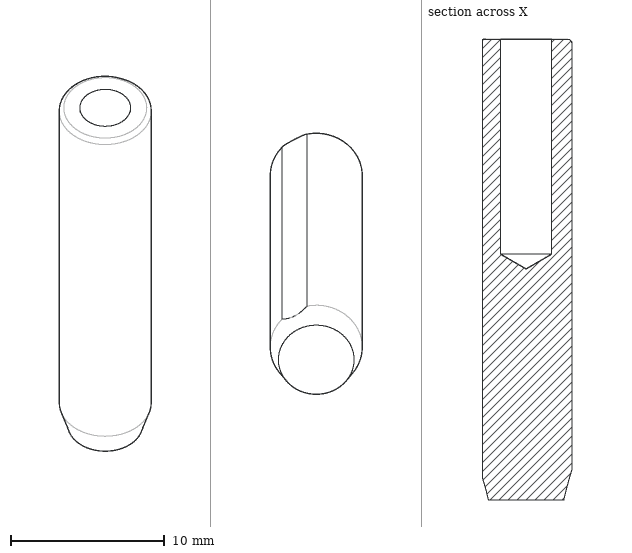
import cadquery as cq
import math

PIN_DIAMETER = 6.0
PIN_LENGTH = 30.0
TOP_ROUND_RADIUS = 0.3

TAPER_LENGTH = 2.0
TAPER_HALF_ANGLE = 15.0

FLAT_DEPTH = 0.15

HOLE_DIAMETER = 3.3
HOLE_DEPTH = 14.0
DRILL_POINT_ANGLE = 120.0

PIN_RADIUS = PIN_DIAMETER / 2
TIP_RADIUS = PIN_RADIUS - TAPER_LENGTH * math.tan(math.radians(TAPER_HALF_ANGLE))
HOLE_RADIUS = HOLE_DIAMETER / 2
DRILL_POINT_LENGTH = HOLE_RADIUS / math.tan(math.radians(DRILL_POINT_ANGLE / 2))


def pin_body():
    """Round pin with a tapered lower end and a rounded upper edge."""
    body = (
        cq.Workplane("XZ")
        .moveTo(0, 0)
        .lineTo(TIP_RADIUS, 0)
        .lineTo(PIN_RADIUS, TAPER_LENGTH)
        .lineTo(PIN_RADIUS, PIN_LENGTH)
        .lineTo(0, PIN_LENGTH)
        .close()
        .revolve(360, (0, 0), (0, 1))
    )
    return body.faces(">Z").edges().fillet(TOP_ROUND_RADIUS)


def extraction_hole():
    """Cutter for the blind hole: full-diameter depth plus the drill point."""
    hole_floor = PIN_LENGTH - HOLE_DEPTH
    return (
        cq.Workplane("XZ")
        .moveTo(0, hole_floor - DRILL_POINT_LENGTH)
        .lineTo(HOLE_RADIUS, hole_floor)
        .lineTo(HOLE_RADIUS, PIN_LENGTH)
        .lineTo(0, PIN_LENGTH)
        .close()
        .revolve(360, (0, 0), (0, 1))
    )


def air_release_flat():
    """Cutter that removes a full-length sliver from the +Y side."""
    flat_y = PIN_RADIUS - FLAT_DEPTH
    return (
        cq.Workplane("XY")
        .box(PIN_DIAMETER, PIN_RADIUS, PIN_LENGTH, centered=(True, False, False))
        .translate((0, flat_y, 0))
    )


result = pin_body().cut(extraction_hole()).cut(air_release_flat())